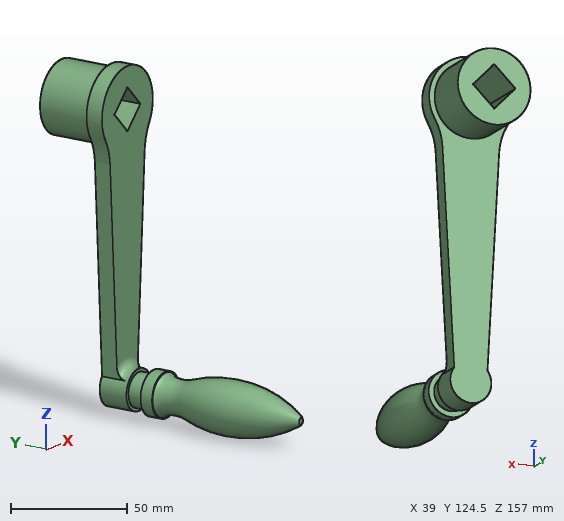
import cadquery as cq

hub_radius = 19.5
hub_to_grip = 125.0
arm_thickness = 8.0
barrel_radius = 17.0
barrel_length = 26.0
square_side = 14.0
overall_depth = 124.5

arm_half_width_top = 14.5
arm_half_width_bottom = 7.45
hub_blend_radius = 27.5

boss_radius = 9.5
boss_length = 14.0
boss_fillet = 4.0

neck_length = 8.0
neck_radius = 8.0
collar_length = 6.0
collar_radius = 10.5
throat_length = 7.7
throat_flare_radius = 10.0
swell_length = 4.4
grip_start_radius = 8.6
grip_widest_place = 62.2
grip_max_radius = 12.5
tip_radius = 2.5
tip_flat_radius = 1.5
tip_length = 1.0

collar_start = boss_length + neck_length
throat_start = collar_start + collar_length
throat_end = throat_start + throat_length
grip_start = throat_end + swell_length
handle_end = overall_depth - barrel_length
grip_end = handle_end - tip_length


def turn_on_grip_axis(profile):
    """Revolve an XY profile about the Y axis and move it down to the grip axis."""
    turned = profile.close().revolve(360, (0, 0), (0, 1))
    return turned.translate((0, 0, -hub_to_grip))


def make_arm():
    """Round hub plate blended into the tapered arm; XZ outlines extrude toward -Y."""
    plate = cq.Workplane("XZ").circle(hub_radius).extrude(arm_thickness)
    plate = plate.union(make_taper(arm_thickness))
    corner_box = cq.selectors.BoxSelector(
        (-hub_radius, -arm_thickness, -hub_radius),
        (hub_radius, 0, -hub_radius / 2),
    )
    return plate.edges("|Y").edges(corner_box).fillet(hub_blend_radius)


def make_taper(thickness):
    """Tapered strip between the hub axis and the grip axis."""
    outline = [
        (-arm_half_width_top, 0),
        (arm_half_width_top, 0),
        (arm_half_width_bottom, -hub_to_grip),
        (-arm_half_width_bottom, -hub_to_grip),
    ]
    return cq.Workplane("XZ").polyline(outline).close().extrude(thickness)


def make_boss_fillet():
    """Concave ring between arm face and boss, trimmed to the width of the arm."""
    face = -arm_thickness
    outer_radius = boss_radius + boss_fillet
    ring_profile = (
        cq.Workplane("XY")
        .moveTo(0, face)
        .lineTo(outer_radius, face)
        .radiusArc((boss_radius, face - boss_fillet), -boss_fillet)
        .lineTo(0, face - boss_fillet)
    )
    return turn_on_grip_axis(ring_profile).intersect(make_taper(boss_length))


def make_handle():
    """Boss, neck, collar, throat and swelling grip turned as one body."""
    profile = (
        cq.Workplane("XY")
        .lineTo(boss_radius, 0)
        .lineTo(boss_radius, -boss_length)
        .lineTo(neck_radius, -boss_length)
        .lineTo(neck_radius, -collar_start)
        .lineTo(collar_radius, -collar_start)
        .lineTo(collar_radius, -throat_start)
        .lineTo(throat_flare_radius, -throat_start)
        .spline(
            [(neck_radius, -throat_end)],
            tangents=[(-1, -1), (0, -1)],
            includeCurrent=True,
        )
        .tangentArcPoint((grip_start_radius, -grip_start), relative=False)
        .threePointArc((grip_max_radius, -grip_widest_place), (tip_radius, -grip_end))
        .lineTo(tip_flat_radius, -handle_end)
        .lineTo(0, -handle_end)
    )
    return turn_on_grip_axis(profile)


def make_square_hole():
    """Square passage through barrel and hub, standing on one corner."""
    hole = cq.Workplane("XZ", origin=(0, barrel_length, 0)).rect(square_side, square_side)
    return hole.extrude(barrel_length + arm_thickness).rotate((0, 0, 0), (0, 1, 0), 45)


barrel = cq.Workplane("XZ").circle(barrel_radius).extrude(-barrel_length)
result = make_arm().union(barrel).union(make_handle()).union(make_boss_fillet())
result = result.cut(make_square_hole())